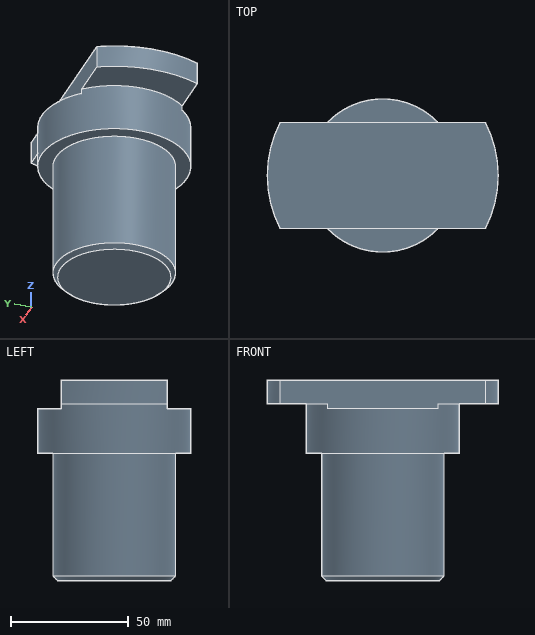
import cadquery as cq

total_height = 85.0

head_diameter = 98.0
head_width = 45.0
head_thickness = 10.0

collar_diameter = 65.0
collar_height = 21.0
shoulder_drop = 2.0

stem_diameter = 52.0
stem_chamfer = 2.0

head_bottom = total_height - head_thickness
collar_bottom = head_bottom - collar_height
shoulder_level = head_bottom - shoulder_drop


def cylinder(diameter, bottom, top):
    return cq.Workplane("XY").workplane(offset=bottom).circle(diameter / 2).extrude(top - bottom)


def make_stem():
    return cylinder(stem_diameter, 0, collar_bottom).faces("<Z").chamfer(stem_chamfer)


def make_head_and_collar():
    """Turned head and collar, with the head and the top of the collar milled to the head width."""
    collar = cylinder(collar_diameter, collar_bottom, shoulder_level)
    head = cylinder(head_diameter, head_bottom, total_height)
    neck = cylinder(collar_diameter, shoulder_level, head_bottom)
    flats = (
        cq.Workplane("XY")
        .workplane(offset=shoulder_level)
        .rect(head_diameter, head_width)
        .extrude(total_height - shoulder_level)
    )
    return collar.union(neck.union(head).intersect(flats))


result = make_stem().union(make_head_and_collar())